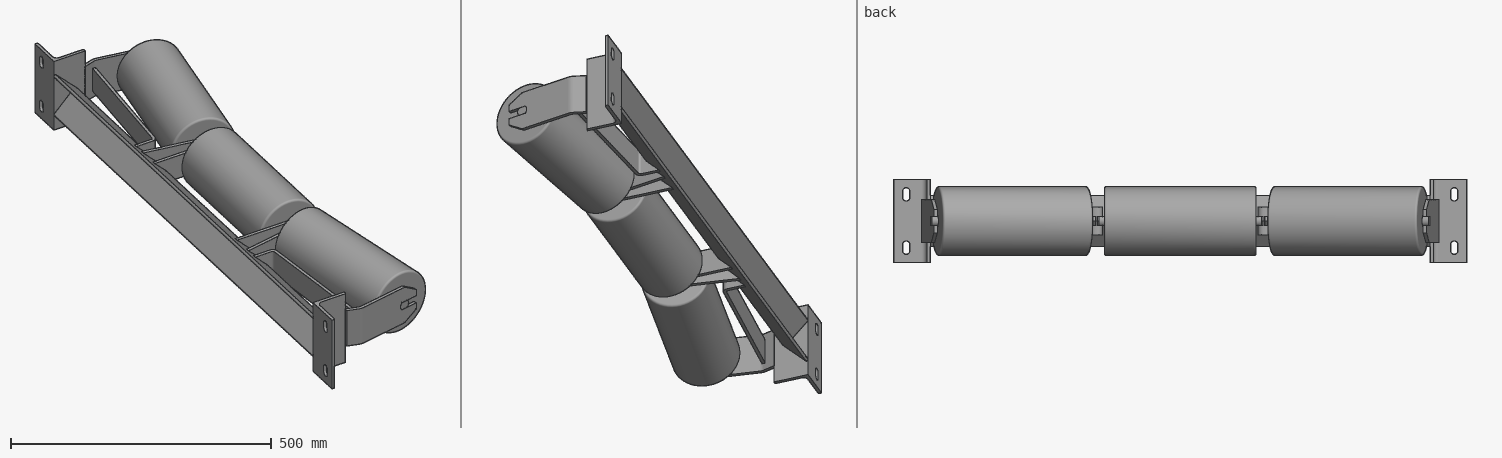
import cadquery as cq
import math

TOTAL_LENGTH = 1100.0

BEAM_LEG = 69.0
PLATE_LEG = 70.0
PLATE_LENGTH = 160.0
ANGLE_THICKNESS = 7.0
ANGLE_ROOT_RADIUS = 9.4
ANGLE_TOE_RADIUS = 3.0

SLOT_WIDTH = 13.0
SLOT_LENGTH = 25.0
SLOT_FROM_END = 24.0
SLOT_SPACING = 102.0

ROLLER_DIAMETER = 133.0
ROLLER_LENGTH = 292.0
ROLLER_EDGE_RADIUS = 4.0
TILT = 10.0
MIDDLE_AXIS_Y = 150.0
WING_CENTRE_X = 322.0
WING_CENTRE_Y = 179.0
SHAFT_RADIUS = 10.5
TANG_WIDTH = 16.0

BAR_THICKNESS = 7.0
NARROW_BAR_WIDTH = 53.0
NARROW_BEND_RADIUS = 8.0

STRAP_WIDTH = 82.0
STRAP_BEND_RADIUS = 18.0
STRAP_TOP_WIDTH = 45.0
STRAP_TAPER = 30.0
STRAP_GAP = 5.0
STRAP_ABOVE_AXIS = 30.0
STRAP_BEND_BELOW_AXIS = 109.0
STRAP_FOOT_FROM_END = 65.0

BRACKET_GAP = 3.0
BRACKET_TOP_Y = 176.0
STRUT_LEG_X = 220.0
STRUT_CORNER_Y = 69.0
STRUT_SLOPE = 5.5

END_X = TOTAL_LENGTH / 2
BEAM_END_X = END_X - PLATE_LEG
STRAP_FOOT_X = END_X - STRAP_FOOT_FROM_END
HALF_BAR = BAR_THICKNESS / 2
HALF_ROLLER = ROLLER_LENGTH / 2
STRAP_AXIAL = HALF_ROLLER + STRAP_GAP + HALF_BAR
BRACKET_AXIAL = HALF_ROLLER + BRACKET_GAP + HALF_BAR
TILT_COS = math.cos(math.radians(TILT))
TILT_SIN = math.sin(math.radians(TILT))
DIAGONAL = math.sqrt(0.5)
APEX_Y = (BEAM_LEG + ANGLE_THICKNESS) * DIAGONAL - ANGLE_TOE_RADIUS * (2 * DIAGONAL - 1)
NARROW_FOOT_Y = APEX_Y - NARROW_BAR_WIDTH / 2 - BAR_THICKNESS



def angle_bar(leg, length):
    """Equal angle bar along +Z, heel at the origin, legs along +X and +Y."""
    bar = (
        cq.Workplane("XY")
        .polyline([
            (0, 0),
            (leg, 0),
            (leg, ANGLE_THICKNESS),
            (ANGLE_THICKNESS, ANGLE_THICKNESS),
            (ANGLE_THICKNESS, leg),
            (0, leg),
        ])
        .close()
        .extrude(length)
    )
    root = cq.NearestToPointSelector((ANGLE_THICKNESS, ANGLE_THICKNESS, length / 2))
    bar = bar.edges("|Z").edges(root).fillet(ANGLE_ROOT_RADIUS)
    for toe in [(leg, ANGLE_THICKNESS), (ANGLE_THICKNESS, leg)]:
        toe_edge = cq.NearestToPointSelector((*toe, length / 2))
        bar = bar.edges("|Z").edges(toe_edge).fillet(ANGLE_TOE_RADIUS)
    return bar


def bent_bar(points, width, bend_radius):
    """Flat bar of the given Z width following a polyline with rounded bends."""
    path = cq.Wire.makePolygon([cq.Vector(x, y, 0) for x, y in points])
    path = path.fillet(bend_radius, path.Vertices()[1:-1])
    start = cq.Vector(*points[0], 0)
    direction = cq.Vector(*points[1], 0) - start
    profile_plane = cq.Plane(origin=start, xDir=(0, 0, 1), normal=direction)
    return cq.Workplane(profile_plane).rect(width, BAR_THICKNESS).sweep(cq.Workplane(path))


def wing_point(axial, across):
    """Point given in the right wing roller's frame: outward along its axis, then square to it."""
    return (
        WING_CENTRE_X + axial * TILT_COS - across * TILT_SIN,
        WING_CENTRE_Y + axial * TILT_SIN + across * TILT_COS,
    )


def place_on_wing(body):
    """Move a body built along X at the origin onto the right wing roller's axis."""
    return body.rotate((0, 0, 0), (0, 0, 1), TILT).translate((WING_CENTRE_X, WING_CENTRE_Y, 0))


def place_in_middle(body):
    """Move a body built along X at the origin onto the middle roller's axis."""
    return body.translate((0, MIDDLE_AXIS_Y, 0))


def mirrored(body):
    """Left-hand copy of a right-hand body."""
    return body.mirror("YZ")



def make_roller():
    """Solid roller along X with rounded rims and a bore for the shaft."""
    end_plane = cq.Workplane("YZ").workplane(offset=-HALF_ROLLER)
    drum = end_plane.circle(ROLLER_DIAMETER / 2).extrude(ROLLER_LENGTH)
    drum = drum.faces("<X or >X").edges().fillet(ROLLER_EDGE_RADIUS)
    bore = end_plane.circle(SHAFT_RADIUS).extrude(ROLLER_LENGTH)
    return drum.cut(bore)



def make_shaft(left_end, right_end):
    """Round shaft along X, with flats on both Z sides where it leaves the roller."""
    length = right_end - left_end
    rod = cq.Workplane("YZ").workplane(offset=left_end).circle(SHAFT_RADIUS).extrude(length)
    core = cq.Workplane("YZ").circle(SHAFT_RADIUS).extrude(HALF_ROLLER, both=True)
    tang = cq.Workplane("XY").box(2 * length, 2 * SHAFT_RADIUS, TANG_WIDTH)
    return rod.intersect(core.union(tang))


def make_shaft_slot(gap, height):
    """Slot cutter beyond the roller's +X face: round bottom fitting the shaft, open upward."""
    depth = 2 * gap + BAR_THICKNESS
    half_width = TANG_WIDTH / 2
    corner_y = -math.sqrt(SHAFT_RADIUS**2 - half_width**2)
    return (
        cq.Workplane("YZ")
        .workplane(offset=HALF_ROLLER)
        .moveTo(height, -half_width)
        .lineTo(corner_y, -half_width)
        .threePointArc((-SHAFT_RADIUS, 0), (corner_y, half_width))
        .lineTo(height, half_width)
        .close()
        .extrude(depth)
    )



def make_end_plate():
    """Right angle plate: upright leg against the beam, foot pointing outward, two slots in the foot."""
    plate = angle_bar(PLATE_LEG, PLATE_LENGTH).translate((BEAM_END_X, 0, -PLATE_LENGTH / 2))
    slots = (
        cq.Workplane("XZ")
        .pushPoints([(END_X - SLOT_FROM_END, z) for z in (-SLOT_SPACING / 2, SLOT_SPACING / 2)])
        .slot2D(SLOT_LENGTH, SLOT_WIDTH, 90)
        .extrude(-ANGLE_THICKNESS)
    )
    return plate.cut(slots)



def make_beam():
    """Angle bar with its heel up and its legs spreading at 45 degrees down to the mounting face."""
    bar = angle_bar(BEAM_LEG, 2 * BEAM_END_X).translate((0, 0, -BEAM_END_X))
    bar = bar.rotate((0, 0, 0), (0, 0, 1), -135).rotate((0, 0, 0), (0, 1, 0), 90)
    return bar.translate((0, APEX_Y, 0))


def make_strap():
    """Right outer strap from the top of the end plate to the wing shaft."""
    bend = wing_point(STRAP_AXIAL, -STRAP_BEND_BELOW_AXIS)
    top = wing_point(STRAP_AXIAL, STRAP_ABOVE_AXIS)
    below_foot = (2 * STRAP_FOOT_X - bend[0], 2 * PLATE_LEG - bend[1])
    strap = bent_bar([below_foot, bend, top], STRAP_WIDTH, STRAP_BEND_RADIUS)
    trim = cq.Workplane("XY").box(PLATE_LEG, PLATE_LEG, STRAP_WIDTH)
    strap = strap.cut(trim.translate((STRAP_FOOT_X, PLATE_LEG / 2, 0)))
    for side in (-1, 1):
        corner = (
            cq.Workplane("YZ")
            .polyline([
                (STRAP_ABOVE_AXIS, side * STRAP_TOP_WIDTH / 2),
                (STRAP_ABOVE_AXIS, side * STRAP_WIDTH / 2),
                (STRAP_ABOVE_AXIS - STRAP_TAPER, side * STRAP_WIDTH / 2),
            ])
            .close()
            .extrude(STRAP_AXIAL + BAR_THICKNESS)
        )
        strap = strap.cut(place_on_wing(corner))
    return strap.cut(place_on_wing(make_shaft_slot(STRAP_GAP, STRAP_ABOVE_AXIS)))


def make_strut():
    """Right strut from the beam, bent outward and up to the strap."""
    end_x = STRAP_FOOT_X + HALF_BAR
    rise = (end_x - STRUT_LEG_X) * math.tan(math.radians(STRUT_SLOPE))
    points = [
        (STRUT_LEG_X, NARROW_FOOT_Y),
        (STRUT_LEG_X, STRUT_CORNER_Y),
        (end_x, STRUT_CORNER_Y + rise),
    ]
    return bent_bar(points, NARROW_BAR_WIDTH, NARROW_BEND_RADIUS)


def tilted_leg_point(y):
    """Point at height y on the centreline of the bracket leg that faces the right wing roller."""
    across = (y - WING_CENTRE_Y + BRACKET_AXIAL * TILT_SIN) / TILT_COS
    return wing_point(-BRACKET_AXIAL, across)


def make_bracket():
    """Right bracket between middle and wing rollers: one upright leg, one leg tilted with the wing."""
    top_y = BRACKET_TOP_Y - HALF_BAR
    points = [
        (BRACKET_AXIAL, NARROW_FOOT_Y),
        (BRACKET_AXIAL, top_y),
        tilted_leg_point(top_y),
        tilted_leg_point(NARROW_FOOT_Y),
    ]
    bracket = bent_bar(points, NARROW_BAR_WIDTH, NARROW_BEND_RADIUS)
    slot = make_shaft_slot(BRACKET_GAP, ROLLER_DIAMETER / 2)
    return bracket.cut(place_in_middle(slot)).cut(place_on_wing(mirrored(slot)))


def make_frame():
    bars = make_strap().union(make_strut()).union(make_bracket())
    beam_envelope = (
        cq.Workplane("YZ")
        .polyline([(APEX_Y, 0), (0, APEX_Y), (0, -APEX_Y)])
        .close()
        .extrude(BEAM_END_X)
    )
    bars = bars.cut(beam_envelope)
    return make_beam().union(bars).union(mirrored(bars))


frame = make_frame()

right_end_plate = make_end_plate()
end_plates = [right_end_plate, mirrored(right_end_plate)]

bracket_face = BRACKET_AXIAL + HALF_BAR
strap_face = STRAP_AXIAL + HALF_BAR
middle_shaft = place_in_middle(make_shaft(-bracket_face, bracket_face))
wing_shaft = place_on_wing(make_shaft(-bracket_face, strap_face))
shafts = [middle_shaft, wing_shaft, mirrored(wing_shaft)]

wing_roller = place_on_wing(make_roller())
rollers = [place_in_middle(make_roller()), wing_roller, mirrored(wing_roller)]

result = cq.Compound.makeCompound(
    [body.solids().val() for body in [frame, *end_plates, *shafts, *rollers]]
)